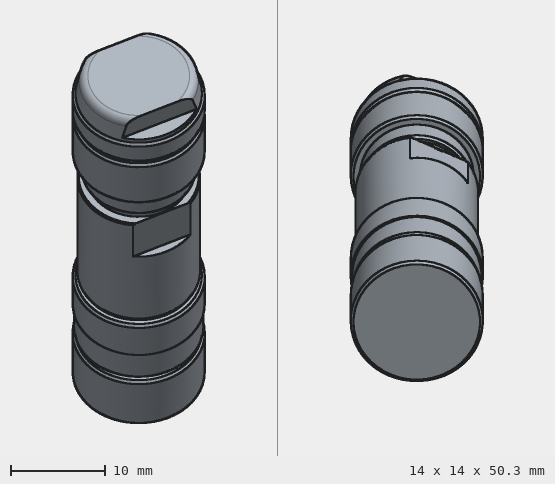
import cadquery as cq

total_height = 50.3
outer_radius = 7.0
chamfer = 0.3

foot_height = 7.2
shaft_radius = 3.0

ring_bottom = 7.65
ring_step = 11.8
ring_top = 16.7
ring_lower_radius = 6.85

barrel_radius = 6.5
barrel_bottom = 17.0
barrel_top = 33.25
barrel_top_chamfer = 0.15
barrel_flat_bottom = 27.8
barrel_flat_width = 11.05

neck_radius = 5.45
collar_radius = 6.05
collar_bottom = 34.3
collar_top = 37.35

groove_bottom = 43.85
groove_top = 44.3
head_top = 47.35

crown_top_radius = 6.2
crown_fillet = 0.95
crown_flat_bottom = 47.8
crown_flat_width = 9.9


def chamfered_drum(radius, bottom, top, bottom_chamfer=0.0, top_chamfer=0.0):
    """Upright cylinder on the Z axis, with optional chamfers on its end edges."""
    drum = cq.Workplane("XY", origin=(0, 0, bottom)).circle(radius).extrude(top - bottom)
    if bottom_chamfer > 0:
        drum = drum.faces("<Z").edges().chamfer(bottom_chamfer)
    if top_chamfer > 0:
        drum = drum.faces(">Z").edges().chamfer(top_chamfer)
    return drum


def flat_cutters(width_across, bottom, top):
    """Two blocks that leave parallel flats facing -X and +X, width_across apart."""
    cutters = cq.Workplane("XY")
    for side in (-1, 1):
        center_x = side * (width_across / 2 + outer_radius / 2)
        block = (
            cq.Workplane("XY", origin=(center_x, 0, bottom))
            .rect(outer_radius, 2 * outer_radius)
            .extrude(top - bottom)
        )
        cutters = cutters.add(block)
    return cutters.combine()


def make_barrel():
    barrel = chamfered_drum(barrel_radius, barrel_bottom, barrel_top, chamfer, barrel_top_chamfer)
    return barrel.cut(flat_cutters(barrel_flat_width, barrel_flat_bottom, barrel_top))


def make_crown():
    base_radius = outer_radius - chamfer
    crown = (
        cq.Workplane("XZ")
        .moveTo(0, head_top)
        .lineTo(base_radius, head_top)
        .lineTo(crown_top_radius, total_height)
        .lineTo(0, total_height)
        .close()
        .revolve(360, (0, 0, 0), (0, 1, 0))
        .faces(">Z").edges().fillet(crown_fillet)
    )
    return crown.cut(flat_cutters(crown_flat_width, crown_flat_bottom, total_height))


def make_housing():
    """Foot, shaft, barrel, neck, collar, head and crown as one solid."""
    housing = chamfered_drum(outer_radius, 0, foot_height, chamfer, chamfer)
    sections = [
        chamfered_drum(shaft_radius, foot_height, ring_top),
        chamfered_drum(barrel_radius - chamfer, ring_top, barrel_bottom),
        make_barrel(),
        chamfered_drum(neck_radius, barrel_top, collar_bottom),
        chamfered_drum(collar_radius, collar_bottom, collar_top, bottom_chamfer=chamfer),
        chamfered_drum(outer_radius, collar_top, groove_bottom, chamfer, chamfer),
        chamfered_drum(outer_radius - chamfer, groove_bottom, groove_top),
        chamfered_drum(outer_radius, groove_top, head_top, chamfer, chamfer),
        make_crown(),
    ]
    for section in sections:
        housing = housing.union(section)
    return housing


def make_coupling_ring():
    """Stepped ring with a plain bore that fits the shaft."""
    lower_band = chamfered_drum(ring_lower_radius, ring_bottom, ring_step, bottom_chamfer=chamfer)
    upper_band = chamfered_drum(outer_radius, ring_step, ring_top, top_chamfer=chamfer)
    bore = chamfered_drum(shaft_radius, ring_bottom, ring_top)
    return lower_band.union(upper_band).cut(bore)


housing = make_housing()
coupling_ring = make_coupling_ring()

result = cq.Compound.makeCompound([housing.val(), coupling_ring.val()])